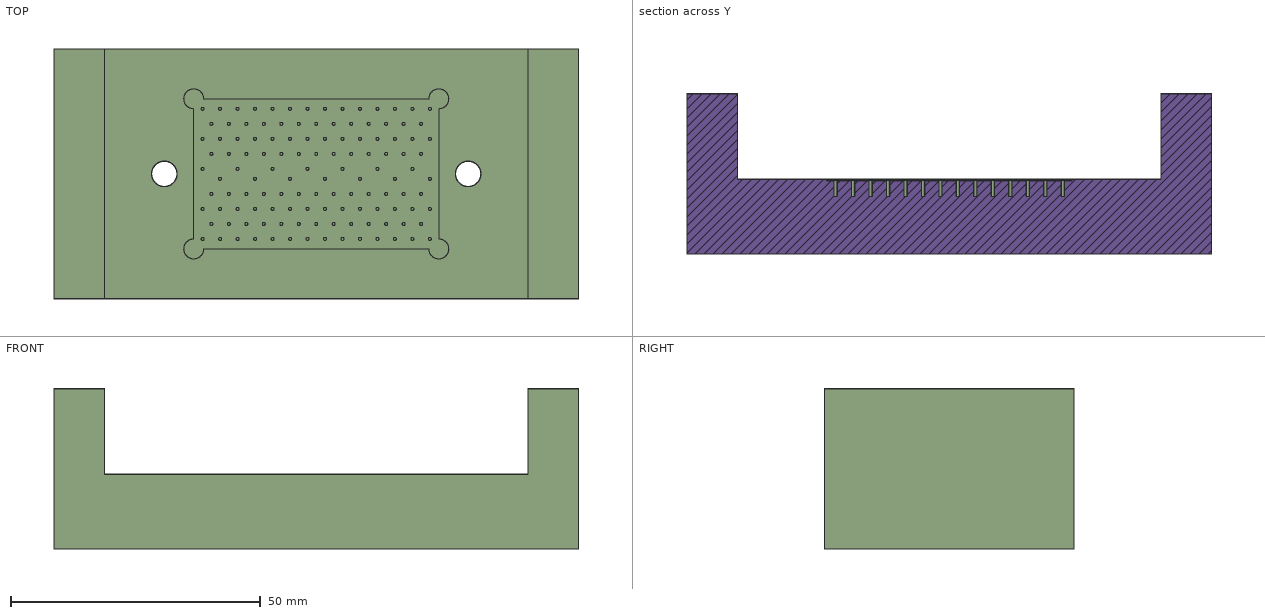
import cadquery as cq

length = 105.0
width = 50.0
height = 32.1

wall_thickness = 10.2
floor_height = 15.0

mount_hole_diameter = 5.0
mount_spacing = 60.8

pocket_length = 49.0
pocket_width = 30.0
pocket_depth = 0.3
relief_diameter = 4.0

pinhole_diameter = 0.6
pinhole_depth = 3.2
pinhole_columns = 14
rows_per_half = 5
pinhole_field_length = 45.5
pinhole_field_width = 26.0
middle_row_gap = 2.0
column_pitch = pinhole_field_length / (pinhole_columns - 1)
row_pitch = (pinhole_field_width - middle_row_gap) / 2 / (rows_per_half - 1)

pocket_floor = floor_height - pocket_depth


def make_body():
    """Block resting on Z = 0 with a channel running through along Y."""
    block = cq.Workplane("XY").box(length, width, height, centered=(True, True, False))
    channel = (
        cq.Workplane("XY")
        .workplane(offset=floor_height)
        .box(length - 2 * wall_thickness, width, height - floor_height, centered=(True, True, False))
    )
    return block.cut(channel)


def make_mount_holes():
    return (
        cq.Workplane("XY")
        .rarray(mount_spacing, 1, 2, 1)
        .circle(mount_hole_diameter / 2)
        .extrude(floor_height)
    )


def make_pocket():
    base = cq.Workplane("XY").workplane(offset=pocket_floor)
    recess = base.rect(pocket_length, pocket_width).extrude(pocket_depth)
    reliefs = (
        base.rarray(pocket_length, pocket_width, 2, 2)
        .circle(relief_diameter / 2)
        .extrude(pocket_depth)
    )
    return recess.union(reliefs)


def pinhole_points():
    """Hole centres, with the rows counted outwards from the middle gap."""
    first_x = -pinhole_field_length / 2
    points = []
    for side in (1, -1):
        for row in range(rows_per_half):
            y = side * (middle_row_gap / 2 + row * row_pitch)
            if row == 0:
                columns = range(0 if side > 0 else 1, pinhole_columns, 2)
                shift = 0
            elif row % 2 == 1:
                columns = range(pinhole_columns - 1)
                shift = column_pitch / 2
            else:
                columns = range(pinhole_columns)
                shift = 0
            points += [(first_x + shift + column * column_pitch, y) for column in columns]
    return points


def make_pinholes():
    return (
        cq.Workplane("XY")
        .workplane(offset=pocket_floor - pinhole_depth)
        .pushPoints(pinhole_points())
        .circle(pinhole_diameter / 2)
        .extrude(pinhole_depth)
    )


result = make_body().cut(make_mount_holes()).cut(make_pocket()).cut(make_pinholes())